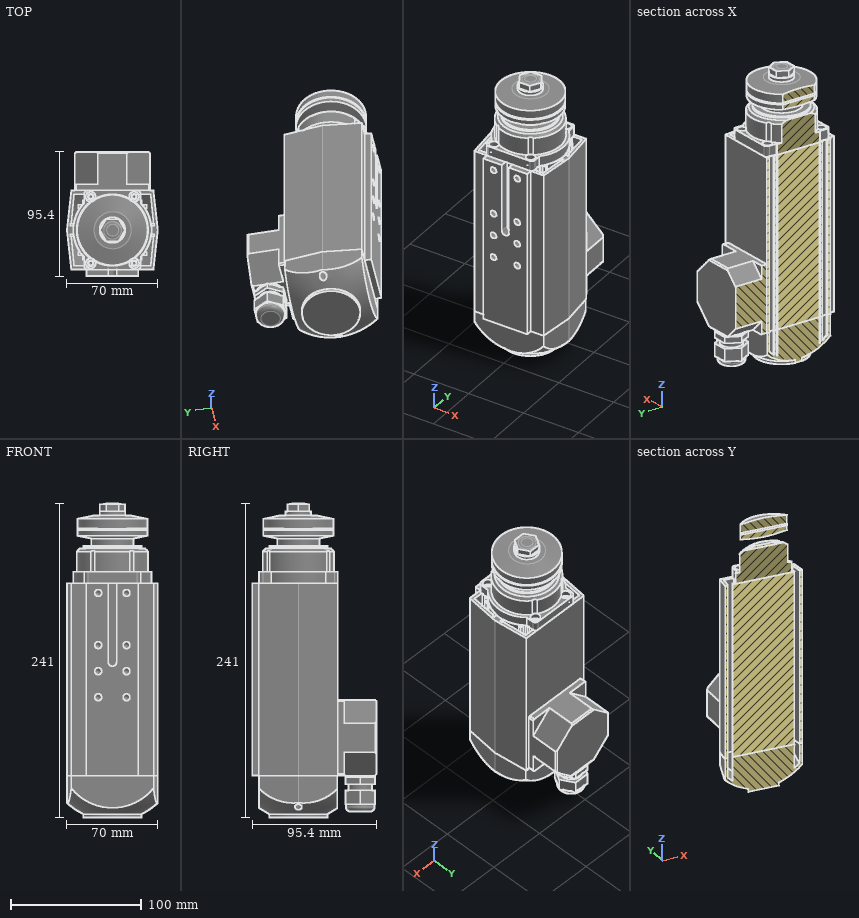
import cadquery as cq
import math


CAP_BOSS_TOP = 2.7
HOUSING_BOTTOM = 32.3
HOUSING_TOP = 179.8
PLATE_TOP = 188.7
NOSE_TOP = 206.5
RING_TOP = 208.7
NECK_TOP = 214.0
LOWER_RIM_BOTTOM = 216.2
LOWER_RIM_TOP = 220.5
UPPER_DISC_BOTTOM = 221.7
UPPER_RIM_TOP = 229.2
UPPER_DISC_TOP = 231.8
BOLT_FLANGE_TOP = 235.0
BOLT_TOP = 241.0
EPS = 1.2

SIDE_X = 35.0
EDGE_X = 31.5
FACE_Y = 30.4
PAD_HALF_WIDTH = 20.0
PAD_THICKNESS = 5.0
PAD_FACE_Y = -FACE_Y - PAD_THICKNESS

CORE_RADIUS = 30.0
HOLLOW_INNER_X = 20.7
HOLLOW_END_Y = 27.5
HOLLOW_EDGE_X = 29.5
HOLLOW_SIDE_X = 31.5
WEB_HALF_WIDTH = 3.1
GROOVE_WIDTH = 1.7
GROOVE_OUTER_X = 32.3
RIB_SIZE = 2.5
RIB_OUTER_CORNERS = [(26.3, 19.3), (22.7, 23.0)]

PAD_HOLE_X = 10.8
PAD_HOLE_RADIUS = 2.7
PAD_HOLE_DEPTH = 7.2
PAD_HOLE_TOP_Z = 172.3
PAD_HOLE_PITCH = 20.0
PAD_HOLE_STEPS = [0, 2, 3, 4]
SLOT_WIDTH = 6.5
SLOT_DEPTH = 7.7
SLOT_BOTTOM = 116.2
DRILL_TIP_HALF_ANGLE = 59

DOME_RADIUS = 50.5
DOME_CENTRE_Z = 48.0
DOME_WALL = 3.0
CAP_BOSS_RADIUS = 22.5
CAP_BACK_INSET = 0.5
CAP_HOLE_X = 31.0
CAP_HOLE_RADIUS = 2.7
CAP_HOLE_TOP = 21.7

NOSE_RADIUS = 27.5
NOSE_CHAMFER = 2.5
PLATE_RADIUS = 30.1
EAR_HALF_WIDTH = 21.7
EAR_FILLET = 3.0
SCREW_X = 16.6
SCREW_Y = 25.5
COUNTERBORE_RADIUS = 3.9
COUNTERBORE_DEPTH = 5.3
TOOL_GROOVE_RADIUS = 3.5
CLEARANCE_RADIUS = 2.2
TAPPED_RADIUS = 1.7
TAPPED_DEPTH = 12.0

RING_RADIUS = 22.5
RING_FOOT_RADIUS = 20.5
RING_FOOT_HEIGHT = 0.7
DISC_RADIUS = 27.0
DISC_CONE_RADIUS = 14.2
NECK_RADIUS = 16.5
HUB_RADIUS = 11.3
BOLT_FLANGE_RADIUS = 10.0
BOLT_ACROSS_FLATS = 16.9
BOLT_BOSS_BASE_RADIUS = 6.7
BOLT_BOSS_TOP_RADIUS = 4.5
BOLT_BOSS_HEIGHT = 0.5

BOX_WIDTH = 57.8
BOX_HEIGHT = 58.0
BOX_BACK_Y = 60.0
BOX_NECK_Y = 35.2
BOX_CORNER = 17.8
BOX_EDGE_CHAMFER = 1.2
GLAND_Y = 47.5
GLAND_ACROSS_FLATS = 22.7
GLAND_COLLAR_BOTTOM = 30.8
GLAND_HEX_BOTTOM = 25.5
GLAND_NECK_RADIUS = 9.2
NUT_TOP = 21.0
NUT_HEX_BOTTOM = 10.1
NUT_BOTTOM = 4.5
NUT_DOME_RADIUS = 11.0
NUT_DOME_FILLET = 3.5


def cylinder(radius, z_low, z_high, x=0.0, y=0.0):
    return cq.Workplane("XY", origin=(x, y, z_low)).circle(radius).extrude(z_high - z_low)


def hexagon(across_flats, z_low, z_high, y=0.0):
    """Hexagonal prism with two corners on the X direction."""
    across_corners = across_flats / math.cos(math.pi / 6)
    return cq.Workplane("XY", origin=(0, y, z_low)).polygon(6, across_corners).extrude(z_high - z_low)


def revolved(profile):
    """Body of revolution about Z from (radius, z) points."""
    return cq.Workplane("XZ").polyline(profile).close().revolve(360, (0, 0, 0), (0, 1, 0))


def drill(radius, depth, mouth, direction):
    """Drill shape: a cylinder of the given depth followed by a conical tip."""
    tip = radius / math.tan(math.radians(DRILL_TIP_HALF_ANGLE))
    start = cq.Vector(*mouth)
    along = cq.Vector(*direction)
    shank = cq.Solid.makeCylinder(radius, depth, start, along)
    cone = cq.Solid.makeCone(radius, 0, tip, start + along * depth, along)
    return cq.Workplane(shank.fuse(cone))


def screw_places():
    return [(sx * SCREW_X, sy * SCREW_Y) for sx in (-1, 1) for sy in (-1, 1)]


def section_prism(z_low, z_high, back_y=FACE_Y):
    """Six-sided section with ridged sides."""
    outline = [
        (-EDGE_X, -FACE_Y), (EDGE_X, -FACE_Y), (SIDE_X, 0),
        (EDGE_X, back_y), (-EDGE_X, back_y), (-SIDE_X, 0),
    ]
    return cq.Workplane("XY", origin=(0, 0, z_low)).polyline(outline).close().extrude(z_high - z_low)


def corner_hollows(z_low, z_high, with_grooves):
    """The four open corners between the outer wall and the round core."""
    groove_end_y = WEB_HALF_WIDTH + GROOVE_WIDTH
    outline = [
        (HOLLOW_INNER_X, groove_end_y),
        (HOLLOW_INNER_X, HOLLOW_END_Y),
        (HOLLOW_EDGE_X, HOLLOW_END_Y),
        (HOLLOW_SIDE_X, groove_end_y),
    ]
    height = z_high - z_low
    plane = cq.Workplane("XY", origin=(0, 0, z_low))
    corner = plane.polyline(outline).close().extrude(height)
    if with_grooves:
        groove = plane.moveTo(HOLLOW_INNER_X, WEB_HALF_WIDTH).lineTo(GROOVE_OUTER_X, WEB_HALF_WIDTH)
        groove = groove.lineTo(GROOVE_OUTER_X, groove_end_y).lineTo(HOLLOW_INNER_X, groove_end_y)
        corner = corner.union(groove.close().extrude(height))
    corner = corner.cut(cylinder(CORE_RADIUS, z_low, z_high))
    for x, y in RIB_OUTER_CORNERS:
        rib = plane.center(x - RIB_SIZE / 2, y - RIB_SIZE / 2).rect(RIB_SIZE, RIB_SIZE).extrude(height)
        corner = corner.cut(rib)
    side = corner.union(corner.mirror("XZ"))
    return side.union(side.mirror("YZ"))


def make_housing():
    height = HOUSING_TOP - HOUSING_BOTTOM
    body = section_prism(HOUSING_BOTTOM, HOUSING_TOP)
    pad = (
        cq.Workplane("XY", origin=(0, -FACE_Y, HOUSING_BOTTOM))
        .rect(2 * PAD_HALF_WIDTH, 2 * PAD_THICKNESS)
        .extrude(height)
    )
    body = body.union(pad)
    body = body.cut(corner_hollows(HOUSING_BOTTOM, HOUSING_TOP, True))

    slot_end_z = SLOT_BOTTOM + SLOT_WIDTH / 2
    slot = (
        cq.Workplane("XZ", origin=(0, PAD_FACE_Y + SLOT_DEPTH, 0))
        .moveTo(-SLOT_WIDTH / 2, HOUSING_TOP + EPS)
        .lineTo(-SLOT_WIDTH / 2, slot_end_z)
        .threePointArc((0, SLOT_BOTTOM), (SLOT_WIDTH / 2, slot_end_z))
        .lineTo(SLOT_WIDTH / 2, HOUSING_TOP + EPS)
        .close()
        .extrude(SLOT_DEPTH + EPS)
    )
    body = body.cut(slot)

    for step in PAD_HOLE_STEPS:
        z = PAD_HOLE_TOP_Z - step * PAD_HOLE_PITCH
        for x in (-PAD_HOLE_X, PAD_HOLE_X):
            body = body.cut(drill(PAD_HOLE_RADIUS, PAD_HOLE_DEPTH, (x, PAD_FACE_Y, z), (0, 1, 0)))
    for x, y in screw_places():
        body = body.cut(drill(TAPPED_RADIUS, TAPPED_DEPTH, (x, y, HOUSING_TOP), (0, 0, -1)))
    return body


def make_end_cap():
    centre = (0, 0, DOME_CENTRE_Z)
    dome = cq.Workplane("XY", origin=centre).sphere(DOME_RADIUS)
    bowl = cq.Workplane("XY", origin=centre).sphere(DOME_RADIUS - DOME_WALL)
    cap = section_prism(CAP_BOSS_TOP, HOUSING_BOTTOM, FACE_Y - CAP_BACK_INSET).intersect(dome)
    cap = cap.union(cylinder(CAP_BOSS_RADIUS, 0, CAP_BOSS_TOP))
    cap = cap.cut(corner_hollows(CAP_BOSS_TOP, HOUSING_BOTTOM, False).intersect(bowl))
    for x in (-CAP_HOLE_X, CAP_HOLE_X):
        cap = cap.cut(cylinder(CAP_HOLE_RADIUS, 0, CAP_HOLE_TOP, x))
    return cap


def make_nose():
    thickness = PLATE_TOP - HOUSING_TOP
    ears = (
        cq.Workplane("XY", origin=(0, 0, HOUSING_TOP))
        .rect(2 * EAR_HALF_WIDTH, 2 * FACE_Y)
        .extrude(thickness)
        .edges("|Z")
        .fillet(EAR_FILLET)
    )
    barrel = cylinder(NOSE_RADIUS, PLATE_TOP, NOSE_TOP).faces(">Z").chamfer(NOSE_CHAMFER)
    nose = cylinder(PLATE_RADIUS, HOUSING_TOP, PLATE_TOP).union(ears).union(barrel)
    for x, y in screw_places():
        nose = nose.cut(cylinder(CLEARANCE_RADIUS, HOUSING_TOP, PLATE_TOP, x, y))
        nose = nose.cut(cylinder(COUNTERBORE_RADIUS, PLATE_TOP - COUNTERBORE_DEPTH, PLATE_TOP, x, y))
        nose = nose.cut(cylinder(TOOL_GROOVE_RADIUS, PLATE_TOP, NOSE_TOP, x, y))
    return nose


def make_cover_ring():
    foot_top = NOSE_TOP + RING_FOOT_HEIGHT
    foot = cylinder(RING_FOOT_RADIUS, NOSE_TOP, foot_top)
    return foot.union(cylinder(RING_RADIUS, foot_top, RING_TOP))


def make_spindle():
    return revolved([
        (0, RING_TOP), (NECK_RADIUS, RING_TOP), (NECK_RADIUS, NECK_TOP),
        (DISC_RADIUS, LOWER_RIM_BOTTOM), (DISC_RADIUS, LOWER_RIM_TOP),
        (HUB_RADIUS, LOWER_RIM_TOP), (HUB_RADIUS, UPPER_DISC_BOTTOM), (0, UPPER_DISC_BOTTOM),
    ])


def make_clamp_disc():
    return revolved([
        (0, UPPER_DISC_BOTTOM), (DISC_RADIUS, UPPER_DISC_BOTTOM), (DISC_RADIUS, UPPER_RIM_TOP),
        (DISC_CONE_RADIUS, UPPER_DISC_TOP), (0, UPPER_DISC_TOP),
    ])


def make_bolt():
    head_top = BOLT_TOP - BOLT_BOSS_HEIGHT
    flange = cylinder(BOLT_FLANGE_RADIUS, UPPER_DISC_TOP, BOLT_FLANGE_TOP)
    head = hexagon(BOLT_ACROSS_FLATS, BOLT_FLANGE_TOP, head_top)
    boss = revolved([
        (0, head_top), (BOLT_BOSS_BASE_RADIUS, head_top), (BOLT_BOSS_TOP_RADIUS, BOLT_TOP), (0, BOLT_TOP),
    ])
    return flange.union(head).union(boss)


def make_terminal_box():
    centre_z = HOUSING_BOTTOM + BOX_HEIGHT / 2
    box = (
        cq.Workplane("XZ", origin=(0, FACE_Y, centre_z))
        .rect(BOX_WIDTH, BOX_HEIGHT)
        .extrude(FACE_Y - BOX_BACK_Y)
        .edges("|Y or >Y")
        .chamfer(BOX_EDGE_CHAMFER)
    )
    for sx in (-1, 1):
        for sz in (-1, 1):
            x = sx * BOX_WIDTH / 2
            z = sz * BOX_HEIGHT / 2
            bevel = (
                cq.Workplane("XZ", origin=(0, BOX_NECK_Y, centre_z))
                .polyline([(x, z), (x - sx * BOX_CORNER, z), (x, z - sz * BOX_CORNER)])
                .close()
                .extrude(BOX_NECK_Y - BOX_BACK_Y)
            )
            box = box.cut(bevel)
    return box


def make_gland_body():
    collar = cylinder(GLAND_ACROSS_FLATS / 2, GLAND_COLLAR_BOTTOM, HOUSING_BOTTOM, 0, GLAND_Y)
    hex_part = hexagon(GLAND_ACROSS_FLATS, GLAND_HEX_BOTTOM, GLAND_COLLAR_BOTTOM, GLAND_Y)
    neck = cylinder(GLAND_NECK_RADIUS, NUT_TOP, GLAND_HEX_BOTTOM, 0, GLAND_Y)
    return collar.union(hex_part).union(neck)


def make_gland_nut():
    hex_part = hexagon(GLAND_ACROSS_FLATS, NUT_HEX_BOTTOM, NUT_TOP, GLAND_Y)
    dome = cylinder(NUT_DOME_RADIUS, NUT_BOTTOM, NUT_HEX_BOTTOM, 0, GLAND_Y)
    return hex_part.union(dome.faces("<Z").edges().fillet(NUT_DOME_FILLET))


housing = make_housing()
end_cap = make_end_cap()
nose = make_nose()
cover_ring = make_cover_ring()
spindle = make_spindle()
clamp_disc = make_clamp_disc()
bolt = make_bolt()
terminal_box = make_terminal_box()
gland_body = make_gland_body()
gland_nut = make_gland_nut()

bodies = [
    housing, end_cap, nose, cover_ring, spindle,
    clamp_disc, bolt, terminal_box, gland_body, gland_nut,
]
result = cq.Compound.makeCompound([body.solids().val() for body in bodies])